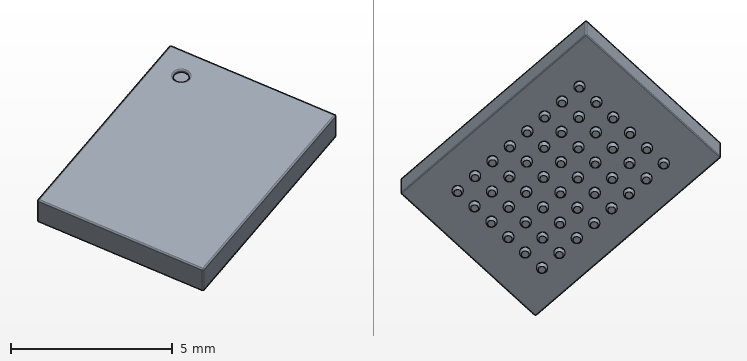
import cadquery as cq
import math

LENGTH_X = 6.0
LENGTH_Y = 8.0
TOTAL_HEIGHT = 1.2
STANDOFF = 0.26
EDGE_RADIUS = 0.05
BOTTOM_EDGE_RADIUS = 0.03
BODY_HEIGHT = TOTAL_HEIGHT - STANDOFF

BALL_COLUMNS = 6
BALL_ROWS = 8
BALL_PITCH = 0.75
BALL_DIAMETER = 0.35

MARK_X = -2.0
MARK_Y = 3.0
MARK_DIAMETER = 0.5
MARK_DEPTH = 0.1


def make_body():
    """Flat block with its underside at Z = 0 and all edges rounded."""
    block = cq.Workplane("XY").box(LENGTH_X, LENGTH_Y, BODY_HEIGHT, centered=(True, True, False))
    block = block.edges("|Z or >Z").fillet(EDGE_RADIUS)
    return block.faces("<Z").edges().fillet(BOTTOM_EDGE_RADIUS)


def make_mark():
    """Round plug with a flared top rim; cut into the top face, it leaves the pin 1 dimple."""
    top = BODY_HEIGHT
    floor_radius = MARK_DIAMETER / 2
    rim_top_radius = floor_radius + EDGE_RADIUS
    rim_bottom = top - EDGE_RADIUS
    rim_bend = EDGE_RADIUS * math.sqrt(0.5)
    profile = (
        cq.Workplane("XZ", origin=(MARK_X, MARK_Y, 0))
        .moveTo(0, top - MARK_DEPTH)
        .lineTo(floor_radius, top - MARK_DEPTH)
        .lineTo(floor_radius, rim_bottom)
        .threePointArc((rim_top_radius - rim_bend, rim_bottom + rim_bend), (rim_top_radius, top))
        .lineTo(0, top)
        .close()
    )
    return profile.revolve(360, (0, 0), (0, 1))


def make_balls():
    """Full grid of balls, each flattened where it leaves the body and at its foot."""
    radius = BALL_DIAMETER / 2
    half_height = STANDOFF / 2
    flat_radius = math.sqrt(radius**2 - half_height**2)
    ball = (
        cq.Workplane("XZ")
        .moveTo(0, -STANDOFF)
        .lineTo(flat_radius, -STANDOFF)
        .threePointArc((radius, -half_height), (flat_radius, 0))
        .lineTo(0, 0)
        .close()
        .revolve(360, (0, 0), (0, 1))
        .val()
    )
    return (
        cq.Workplane("XY")
        .rarray(BALL_PITCH, BALL_PITCH, BALL_COLUMNS, BALL_ROWS)
        .eachpoint(ball)
    )


result = make_body().cut(make_mark()).union(make_balls())